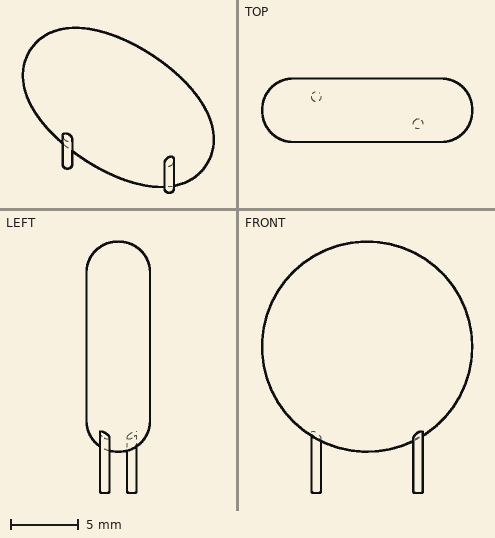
import cadquery as cq

body_diameter = 15.5
body_thickness = 4.7
rim_width = 0.12
edge_radius = (body_thickness - rim_width) / 2

lead_diameter = 0.72
lead_pitch = 7.5
lead_stagger = 2.0
lead_tip_round = lead_diameter / 5
overall_height = 18.53
lead_tip_z = body_diameter / 2 - overall_height
lead_top_z = -body_diameter / 4


def make_body():
    """Flat disc with both circular edges rounded."""
    disc = cq.Workplane("XZ").circle(body_diameter / 2).extrude(body_thickness / 2, both=True)
    return disc.edges("%CIRCLE").fillet(edge_radius)


def make_lead(x, y):
    """Round wire with a rounded tip, running from inside the body downwards."""
    wire = (
        cq.Workplane("XY", origin=(x, y, lead_tip_z))
        .circle(lead_diameter / 2)
        .extrude(lead_top_z - lead_tip_z)
    )
    return wire.faces("<Z").edges().fillet(lead_tip_round)


result = make_body()
for side in (-1, 1):
    lead = make_lead(side * lead_pitch / 2, -side * lead_stagger / 2)
    result = result.union(lead)